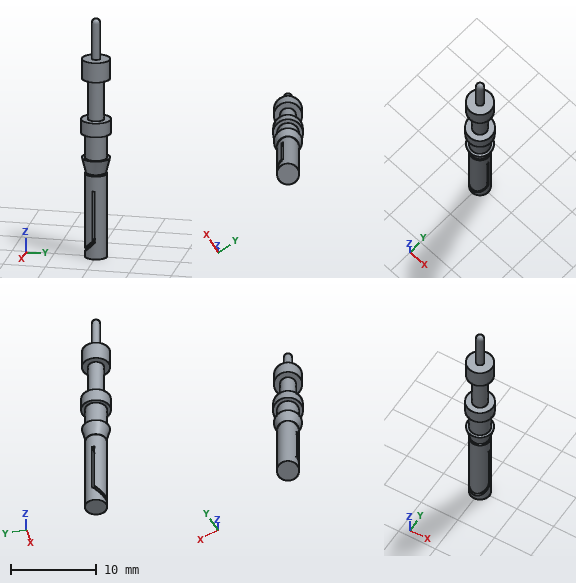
import cadquery as cq
import math

body_diameter = 2.6
neck_diameter = 1.8
cone_small_diameter = 2.4
cone_large_diameter = 3.3
flange_diameter = 3.5
stem_diameter = 1.9
collar_diameter = 3.3
pin_diameter = 1.0

body_top = 10.2
neck_top = 10.37
cone_top = 12.15
flange_bottom = 15.18
flange_top = 16.88
collar_bottom = 21.87
collar_top = 24.27
total_height = 29.2

slot_width = 0.3
slot_top = 8.35
slot_bend_height = 2.13
slot_slope_angle = math.radians(45)


def cylinder(diameter, bottom, top):
    """Upright cylinder on the part axis."""
    return cq.Workplane("XY").workplane(offset=bottom).circle(diameter / 2).extrude(top - bottom)


def locking_cone():
    """Barb that widens upward to a flat ledge."""
    return (
        cq.Workplane("XY")
        .workplane(offset=neck_top)
        .circle(cone_small_diameter / 2)
        .workplane(offset=cone_top - neck_top)
        .circle(cone_large_diameter / 2)
        .loft(ruled=True)
    )


def round_tipped_pin():
    """Thin contact pin ending in a hemisphere."""
    tip_radius = pin_diameter / 2
    tip_center = total_height - tip_radius
    tip = cq.Workplane("XY").sphere(tip_radius).translate((0, 0, tip_center))
    return cylinder(pin_diameter, collar_top, tip_center).union(tip)


def bent_slot():
    """Cutter of constant width that passes through the body along X."""
    half_width = slot_width / 2
    slope = math.tan(slot_slope_angle)
    half_rise = half_width / math.cos(slot_slope_angle)
    outer_y = -body_diameter

    def slope_height(y):
        return slot_bend_height + slope * y

    outline = [
        (-half_width, slot_top),
        (half_width, slot_top),
        (half_width, slope_height(half_width) - half_rise),
        (outer_y, slope_height(outer_y) - half_rise),
        (outer_y, slope_height(outer_y) + half_rise),
        (-half_width, slope_height(-half_width) + half_rise),
    ]
    return cq.Workplane("YZ").polyline(outline).close().extrude(body_diameter, both=True)


lower_body = cylinder(body_diameter, 0, body_top).cut(bent_slot())

result = (
    lower_body
    .union(cylinder(neck_diameter, body_top, neck_top))
    .union(locking_cone())
    .union(cylinder(body_diameter, cone_top, flange_bottom))
    .union(cylinder(flange_diameter, flange_bottom, flange_top))
    .union(cylinder(stem_diameter, flange_top, collar_bottom))
    .union(cylinder(collar_diameter, collar_bottom, collar_top))
    .union(round_tipped_pin())
)